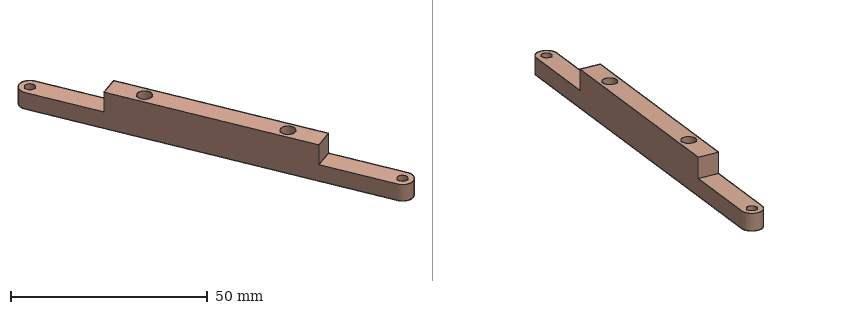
import cadquery as cq

length = 110.0
width = 6.0
bar_height = 5.0
total_height = 11.0
block_length = 60.0
end_hole_diameter = 2.85
block_hole_diameter = 4.0
block_hole_spacing = 40.0

end_hole_spacing = length - width


def make_bar():
    """Flat bar with full-round ends, resting on Z = 0."""
    return cq.Workplane("XY").slot2D(length, width).extrude(bar_height)


def make_block():
    """Raised central block, as wide as the bar and standing on Z = 0."""
    return cq.Workplane("XY").box(block_length, width, total_height, centered=(True, True, False))


def make_hole_pair(spacing, diameter):
    """Cutter for two vertical through holes placed symmetrically along X."""
    centres = [(-spacing / 2, 0), (spacing / 2, 0)]
    return cq.Workplane("XY").pushPoints(centres).circle(diameter / 2).extrude(total_height)


body = make_bar().union(make_block()).clean()
body = body.cut(make_hole_pair(end_hole_spacing, end_hole_diameter))
result = body.cut(make_hole_pair(block_hole_spacing, block_hole_diameter))